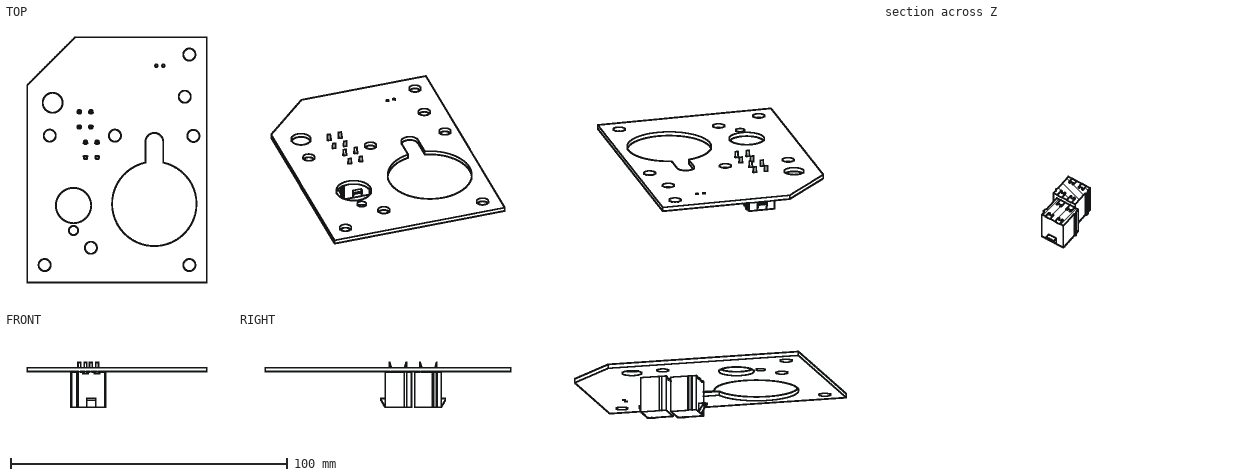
import cadquery as cq

plate_width = 65.09
plate_length = 88.9
plate_thickness = 1.5
standoff_gap = 0.08
corner_cut = 17.46

edge_margin = 6.35
mounting_hole_diameter = 4.3
mounting_hole_centres = [
    (edge_margin, edge_margin),
    (plate_width - edge_margin, edge_margin),
    (plate_width - edge_margin, plate_length - edge_margin),
    (57.08, 67.3),
    (60.2, 53.1),
    (31.8, 53.2),
    (8.2, 53.2),
    (23.1, 12.6),
]

cable_hole_diameter = 7.14
cable_hole_centre = (9.25, 65.1)

dial_hole_diameter = 12.7
dial_hole_centre = (16.8, 27.9)
locating_hole_diameter = 3.3
locating_hole_drop = 9.05

lead_hole_diameter = 0.9
lead_hole_pitch = 2.54
lead_holes_centre = (48.1, 78.5)

keyhole_diameter = 30.5
keyhole_centre = (46.05, 28.5)
keyhole_slot_width = 6.35
keyhole_slot_end = 54.15

shell_size = 9.6
shell_height = 12.8
shell_offset = 0.15
shell_side = shell_size / 2
latch_face = shell_offset - shell_size / 2

pin_pitch_x = 4.2
pin_pitch_y = 5.5
pin_width = 1.07
pin_depth = 0.7
pin_length = 3.5
pin_tip_depth = 0.15
pin_hole_diameter = 1.4

pocket_width = 2.0
pocket_depth = 0.6

latch_width = 3.3
latch_height = 3.2
latch_reach = 1.5
latch_lip = 0.6

rib_height = 0.42
ramped_rib_start = 1.5
ramped_rib_end = 3.2
steep_ramp_length = 0.25
gentle_ramp_length = rib_height
round_rib_distance = 7.42

connector_places = [
    ((23.24, 48.05), 0),
    ((21.0, 59.08), 180),
]


def pin_positions():
    return [
        (x, y)
        for x in (-pin_pitch_x / 2, pin_pitch_x / 2)
        for y in (-pin_pitch_y / 2, pin_pitch_y / 2)
    ]


def place_connector(part, centre, turn):
    x, y = centre
    return part.rotate((0, 0, 0), (0, 0, 1), turn).translate((x, y, -standoff_gap))


def drill(centres, diameter):
    return cq.Workplane("XY").pushPoints(centres).circle(diameter / 2).extrude(plate_thickness)


def make_keyhole():
    x, y = keyhole_centre
    slot_end_y = keyhole_slot_end - keyhole_slot_width / 2
    slot_length = slot_end_y - y
    slot = (
        cq.Workplane("XY")
        .center(x, y + slot_length / 2)
        .rect(keyhole_slot_width, slot_length)
        .extrude(plate_thickness)
    )
    round_end = drill([(x, slot_end_y)], keyhole_slot_width)
    return drill([keyhole_centre], keyhole_diameter).union(slot).union(round_end)


def make_plate():
    plate = (
        cq.Workplane("XY")
        .moveTo(0, 0)
        .lineTo(plate_width, 0)
        .lineTo(plate_width, plate_length)
        .lineTo(corner_cut, plate_length)
        .lineTo(0, plate_length - corner_cut)
        .close()
        .extrude(plate_thickness)
    )
    dial_x, dial_y = dial_hole_centre
    lead_x, lead_y = lead_holes_centre
    lead_centres = [(lead_x + side * lead_hole_pitch / 2, lead_y) for side in (-1, 1)]
    plate = (
        plate.cut(drill(mounting_hole_centres, mounting_hole_diameter))
        .cut(drill([cable_hole_centre], cable_hole_diameter))
        .cut(drill([dial_hole_centre], dial_hole_diameter))
        .cut(drill([(dial_x, dial_y - locating_hole_drop)], locating_hole_diameter))
        .cut(drill(lead_centres, lead_hole_diameter))
        .cut(make_keyhole())
    )
    for centre, _ in connector_places:
        hole_centres = [(centre[0] + x, centre[1] + y) for x, y in pin_positions()]
        plate = plate.cut(drill(hole_centres, pin_hole_diameter))
    return plate


def make_pin(x, y):
    """A pin with an upright outer face and an inner face that slopes to a thin tip."""
    outward = 1 if y > 0 else -1
    outer_y = y + outward * pin_depth / 2
    inner_y = y - outward * pin_depth / 2
    return (
        cq.Workplane("YZ", origin=(x, 0, 0))
        .moveTo(outer_y, -pocket_depth)
        .lineTo(outer_y, pin_length)
        .lineTo(outer_y - outward * pin_tip_depth, pin_length)
        .lineTo(inner_y, standoff_gap + plate_thickness)
        .lineTo(inner_y, -pocket_depth)
        .close()
        .extrude(pin_width / 2, both=True)
    )


def make_pin_pocket(x, y):
    """A recess around a pin's foot, from its inner face out through the nearest face of the shell."""
    outward = 1 if y > 0 else -1
    inner_y = y - outward * pin_depth / 2
    length = shell_size / 2
    return (
        cq.Workplane("XY", origin=(x, inner_y + outward * length / 2, -pocket_depth))
        .rect(pocket_width, length)
        .extrude(pocket_depth)
    )


def make_latch():
    """A snap hook at the foot of the latch face."""
    latch_top = latch_height - shell_height
    latch_tip = latch_face - latch_reach
    return (
        cq.Workplane("YZ")
        .moveTo(latch_face, -shell_height)
        .lineTo(latch_face, latch_top)
        .lineTo(latch_tip, latch_top)
        .lineTo(latch_tip, latch_top - latch_lip)
        .close()
        .extrude(latch_width / 2, both=True)
    )


def make_ramped_rib():
    """A full-height rib on the -X side, ramped up to a flat crest."""
    crest_x = -shell_side - rib_height
    return (
        cq.Workplane("XY", origin=(0, 0, -shell_height))
        .moveTo(-shell_side, latch_face + ramped_rib_start)
        .lineTo(crest_x, latch_face + ramped_rib_start + steep_ramp_length)
        .lineTo(crest_x, latch_face + ramped_rib_end - gentle_ramp_length)
        .lineTo(-shell_side, latch_face + ramped_rib_end)
        .close()
        .extrude(shell_height)
    )


def make_round_rib():
    """A full-height half-round rib on the +X side."""
    round_rib_y = latch_face + round_rib_distance
    return (
        cq.Workplane("XY", origin=(0, 0, -shell_height))
        .moveTo(shell_side, round_rib_y - rib_height)
        .threePointArc((shell_side + rib_height, round_rib_y), (shell_side, round_rib_y + rib_height))
        .close()
        .extrude(shell_height)
    )


def make_connector():
    connector = (
        cq.Workplane("XY", origin=(0, shell_offset, -shell_height))
        .rect(shell_size, shell_size)
        .extrude(shell_height)
    )
    connector = connector.union(make_latch()).union(make_ramped_rib()).union(make_round_rib())
    for x, y in pin_positions():
        connector = connector.cut(make_pin_pocket(x, y)).union(make_pin(x, y))
    return connector


plate = make_plate()
connectors = [place_connector(make_connector(), centre, turn) for centre, turn in connector_places]

result = cq.Compound.makeCompound([plate.val(), *[connector.val() for connector in connectors]])